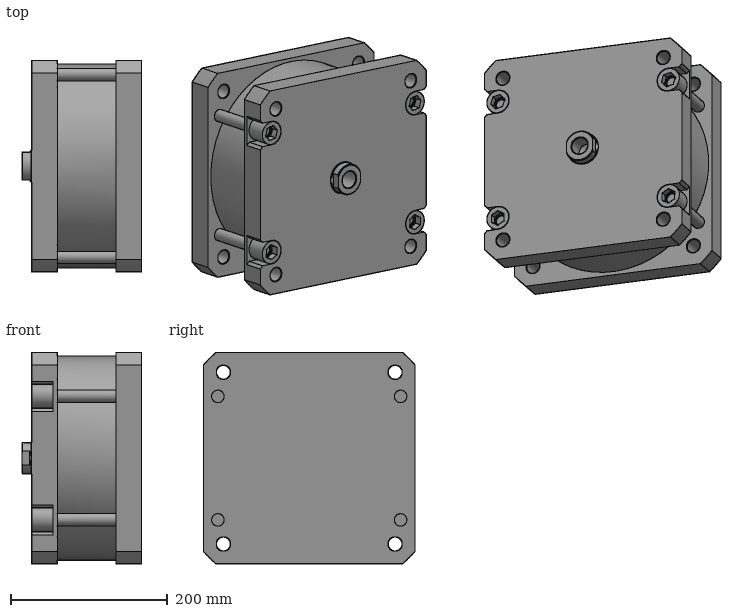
import cadquery as cq
import math

SIDE = 270.0
PLATE_THICKNESS = 33.0
BARREL_LENGTH = 74.8
BARREL_DIAMETER = 261.0
CORNER_TURNING_RADIUS = 180.0

BARREL_START = PLATE_THICKNESS
BARREL_END = BARREL_START + BARREL_LENGTH
TOTAL_LENGTH = BARREL_END + PLATE_THICKNESS

MOUNT_HOLE_DIAMETER = 17.5
MOUNT_HOLE_OFFSET = 109.5

HOLE_CHAMFER = 0.8

BOLT_Y = 116.6
BOLT_Z = 78.8
BOLT_DIAMETER = 16.0
HEAD_DIAMETER = 30.0
HEAD_LENGTH = 27.5
SLOT_WIDTH = 31.0
HEX_ACROSS_FLATS = 17.0
UPPER_HEX_TURN = 18.0
HEX_DEPTH = 10.0
PILOT_DIAMETER = 13.5
PILOT_DEPTH = 2.7
SLOT_MOUTH_CHAMFER = 3.8

ROD_DIAMETER = 41.8
ROD_END_DIAMETER = 40.0
ROD_PROTRUSION = 12.5
ROD_END_CHAMFER = 1.0
ROD_ACROSS_FLATS = 35.6
ROD_FLAT_LENGTH = 10.0
ROD_HOLE_DIAMETER = 22.0
ROD_HOLE_DEPTH = 27.0
DRILL_POINT_ANGLE = 118.0

MOUNT_POINTS = [(y * MOUNT_HOLE_OFFSET, z * MOUNT_HOLE_OFFSET) for y in (-1, 1) for z in (-1, 1)]
BOLT_POINTS = [(y * BOLT_Y, z * BOLT_Z) for y in (-1, 1) for z in (-1, 1)]


def section_plane(x):
    """Plane across the cylinder axis at x, with local axes Y and Z."""
    return cq.Workplane("YZ", origin=(x, 0, 0))


def make_chamfered_drill(start, diameter, depth, point_length=0.0):
    """Cutting body for a hole along X with a chamfered mouth and, if asked for, a conical bottom."""
    radius = diameter / 2
    end = start + depth
    return (
        cq.Workplane("XY")
        .moveTo(start, 0)
        .lineTo(start, radius + HOLE_CHAMFER)
        .lineTo(start + HOLE_CHAMFER, radius)
        .lineTo(end, radius)
        .lineTo(end + point_length, 0)
        .close()
        .revolve(360, (0, 0, 0), (1, 0, 0))
    )


def make_plate(start):
    """Square end plate with turned corners, mounting holes and tie bolt holes."""
    square = section_plane(start).rect(SIDE, SIDE).extrude(PLATE_THICKNESS)
    turned = section_plane(start).circle(CORNER_TURNING_RADIUS).extrude(PLATE_THICKNESS)
    plate = square.intersect(turned)

    mount_hole = make_chamfered_drill(start, MOUNT_HOLE_DIAMETER, PLATE_THICKNESS)
    for y, z in MOUNT_POINTS:
        plate = plate.cut(mount_hole.translate((0, y, z)))

    bolt_circles = section_plane(start).pushPoints(BOLT_POINTS).circle(BOLT_DIAMETER / 2)
    return plate.cut(bolt_circles.extrude(PLATE_THICKNESS))


def make_head_slot(y, z):
    """Round-ended slot around a bolt head, open to the nearest side with a flared mouth."""
    radius = SLOT_WIDTH / 2
    side = math.copysign(SIDE / 2, y)
    flare_start = side - math.copysign(SLOT_MOUTH_CHAMFER, y)
    mouth = radius + SLOT_MOUTH_CHAMFER
    return (
        section_plane(0)
        .moveTo(y, z + radius)
        .lineTo(flare_start, z + radius)
        .lineTo(side, z + mouth)
        .lineTo(side, z - mouth)
        .lineTo(flare_start, z - radius)
        .lineTo(y, z - radius)
        .threePointArc((y - math.copysign(radius, y), z), (y, z + radius))
        .close()
        .extrude(HEAD_LENGTH)
    )


def make_front_plate():
    """End plate with bolt head slots and a bore for the piston rod."""
    plate = make_plate(0)
    for y, z in BOLT_POINTS:
        plate = plate.cut(make_head_slot(y, z))
    rod_bore = section_plane(0).circle(ROD_DIAMETER / 2).extrude(PLATE_THICKNESS)
    return plate.cut(rod_bore)


def make_barrel():
    """Plain round barrel between the two plates."""
    return section_plane(BARREL_START).circle(BARREL_DIAMETER / 2).extrude(BARREL_LENGTH)


def make_rod():
    """Piston rod with a stepped-down end, two flats with sloped run-outs and a drilled hole."""
    tip = -ROD_PROTRUSION
    radius = ROD_DIAMETER / 2
    end_radius = ROD_END_DIAMETER / 2
    shoulder = radius - end_radius
    rod = (
        cq.Workplane("XY")
        .moveTo(tip, 0)
        .lineTo(tip, end_radius - ROD_END_CHAMFER)
        .lineTo(tip + ROD_END_CHAMFER, end_radius)
        .lineTo(-shoulder, end_radius)
        .lineTo(0, radius)
        .lineTo(PLATE_THICKNESS, radius)
        .lineTo(PLATE_THICKNESS, 0)
        .close()
        .revolve(360, (0, 0, 0), (1, 0, 0))
    )

    half_flats = ROD_ACROSS_FLATS / 2
    flat_end = tip + ROD_FLAT_LENGTH
    flat_cut = (
        cq.Workplane("XY")
        .moveTo(tip, half_flats)
        .lineTo(flat_end, half_flats)
        .lineTo(0, radius)
        .lineTo(tip, radius)
        .close()
        .extrude(radius, both=True)
    )

    point_length = ROD_HOLE_DIAMETER / 2 / math.tan(math.radians(DRILL_POINT_ANGLE / 2))
    hole = make_chamfered_drill(tip, ROD_HOLE_DIAMETER, ROD_HOLE_DEPTH, point_length)
    return rod.cut(flat_cut).cut(flat_cut.mirror("XZ")).cut(hole)


def make_tie_bolt(y, z):
    """Socket head tie bolt running from the front plate through the rear plate."""
    shank = section_plane(HEAD_LENGTH).circle(BOLT_DIAMETER / 2).extrude(TOTAL_LENGTH - HEAD_LENGTH)
    head = section_plane(0).circle(HEAD_DIAMETER / 2).extrude(HEAD_LENGTH)
    hex_turn = 90.0 + (UPPER_HEX_TURN if z > 0 else 0.0)
    hex_across_corners = HEX_ACROSS_FLATS / math.cos(math.pi / 6)
    socket = section_plane(0).polygon(6, hex_across_corners).extrude(HEX_DEPTH)
    socket = socket.rotate((0, 0, 0), (1, 0, 0), hex_turn)
    pilot = make_chamfered_drill(HEX_DEPTH, PILOT_DIAMETER, PILOT_DEPTH)
    return head.union(shank).cut(socket).cut(pilot).translate((0, y, z))


front_plate = make_front_plate()
rear_plate = make_plate(BARREL_END)
barrel = make_barrel()
rod = make_rod()
tie_bolts = [make_tie_bolt(y, z) for y, z in BOLT_POINTS]

result = cq.Compound.makeCompound(
    [front_plate.val(), rear_plate.val(), barrel.val(), rod.val(), *[bolt.val() for bolt in tie_bolts]]
)